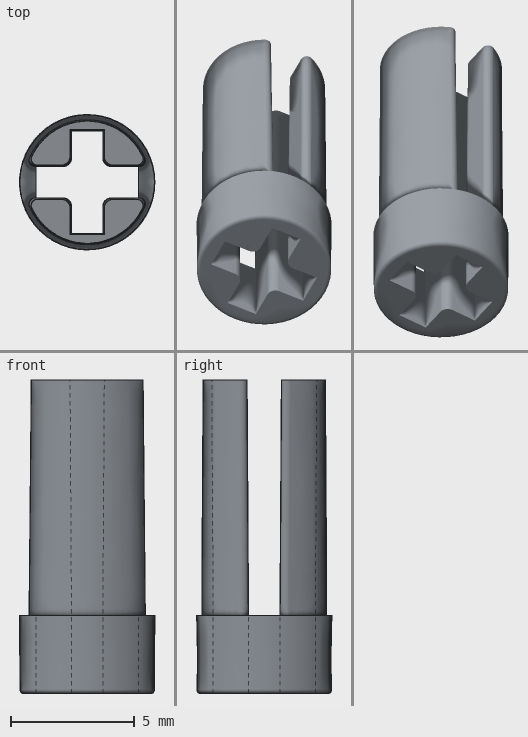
import cadquery as cq
import math

total_height = 12.65
collar_height = 3.15
post_height = total_height - collar_height

collar_diameter = 5.46
post_diameter = 5.05
bottom_edge_radius = 0.15

slot_width = 1.265
slot_length = 4.12

inner_corner_radius = 0.35
outer_corner_radius = 0.25

draft_angle = 0.35
post_draft = post_height * math.tan(math.radians(draft_angle))

inner_corner_reach = slot_width
outer_corner_reach = post_diameter / 2 - 2 * post_draft


def make_collar():
    """Round collar that narrows slightly downward to a rounded bottom edge."""
    return (
        cq.Workplane("XY", origin=(0, 0, collar_height))
        .circle(collar_diameter / 2)
        .extrude(-collar_height, taper=draft_angle)
        .faces("<Z")
        .edges()
        .fillet(bottom_edge_radius)
    )


def make_post():
    """Round post that narrows slightly upward."""
    return (
        cq.Workplane("XY", origin=(0, 0, collar_height))
        .circle(post_diameter / 2)
        .extrude(post_height, taper=draft_angle)
    )


def tapered_slot(length_x, length_y):
    """Rectangular cutter that widens upward along the height of the post."""
    return (
        cq.Workplane("XY", origin=(0, 0, collar_height))
        .rect(length_x, length_y)
        .workplane(offset=post_height)
        .rect(length_x + 2 * post_draft, length_y + 2 * post_draft)
        .loft(ruled=True)
    )


def round_upright_edges(body, inner_limit, outer_limit, radius):
    """Fillet the edges running up the body whose midpoints lie between two distances from the axis."""
    upright = []
    for edge in body.edges().vals():
        middle = edge.positionAt(0.5)
        climbs = edge.BoundingBox().zlen > collar_height / 2
        if climbs and inner_limit < math.hypot(middle.x, middle.y) < outer_limit:
            upright.append(edge)
    return body.newObject(upright).fillet(radius)


def cut_collar(collar):
    """Cross-shaped through bore with straight walls and rounded inner corners."""
    arm_x = cq.Workplane("XY").rect(slot_length, slot_width).extrude(collar_height)
    arm_y = cq.Workplane("XY").rect(slot_width, slot_length).extrude(collar_height)
    bore = round_upright_edges(arm_x.union(arm_y), 0, inner_corner_reach, inner_corner_radius)
    return collar.cut(bore)


def cut_post(post):
    """Cross-shaped opening: the X arm splits the post, the Y arm stays inside it."""
    post = post.cut(tapered_slot(collar_diameter, slot_width))
    post = post.cut(tapered_slot(slot_width, slot_length))
    post = round_upright_edges(post, 0, inner_corner_reach, inner_corner_radius)
    return round_upright_edges(post, outer_corner_reach, collar_diameter / 2, outer_corner_radius)


result = cut_collar(make_collar()).union(cut_post(make_post()))